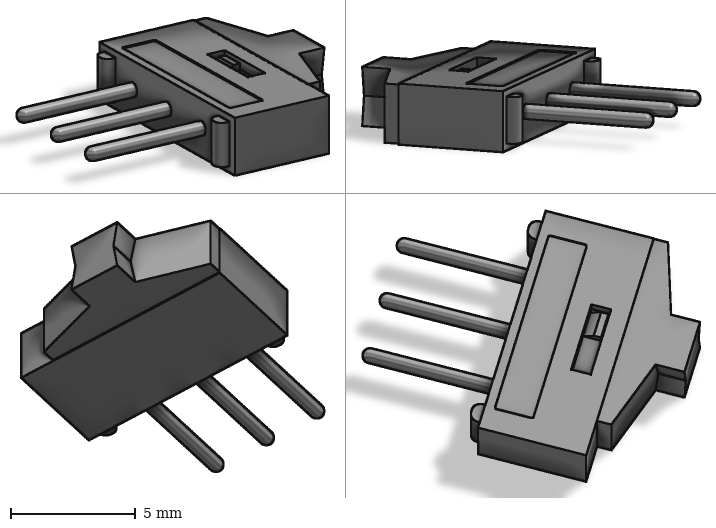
import cadquery as cq
import math


EXTRA = 0.13

OVERALL_Y = 12.8

HOUSING_X = 10.0
HOUSING_Y = 4.5
HOUSING_Z = 2.5
HOUSING_TOP = HOUSING_Z / 2
PIN_FACE_Y = -HOUSING_Y

SLOT_X = 3.0
SLOT_Y = 0.82
SLOT_SETBACK = 0.8
SLOT_DEPTH = 0.45
SLOT_END_Y = -(SLOT_SETBACK + SLOT_Y)

LABEL_X = 7.99
LABEL_Y = 1.6
LABEL_DEPTH = 0.05
LABEL_MARGIN = 0.41
LABEL_CORNER_RADIUS = 0.09

RAIL_X = 0.8
RAIL_Y = 0.5
RAIL_Z = 1.91
RAIL_RADIUS = 0.36
RAIL_OFFSET = 4.21

SLIDER_X = 8.4
SLIDER_Z = 2.42
SLIDER_CENTRE_X = (SLIDER_X - HOUSING_X) / 2
SHOULDER_END_Y = 0.6
RAMP_TOP_Y = 1.59
KNOB_TOP_Y = 2.79
KNOB_X = 2.3
KNOB_WAIST_DEPTH = 0.19

TONGUE_X = 6.4
TONGUE_TOP = HOUSING_TOP - SLOT_DEPTH

WEDGE_X = 1.09
WEDGE_CLEARANCE = 0.06
WEDGE_FLAT_Y = 0.31
WEDGE_HEIGHT = 0.3

PIN_COUNT = 3
PIN_PITCH = 2.53
PIN_RADIUS = 0.31
PIN_LENGTH = OVERALL_Y - KNOB_TOP_Y - HOUSING_Y


def box_between(x_centre, x_size, y_low, y_high, z_low, z_high):
    return (
        cq.Workplane("XY", origin=(x_centre, (y_low + y_high) / 2, z_low))
        .rect(x_size, y_high - y_low)
        .extrude(z_high - z_low)
    )


def make_rail(x):
    """Standoff bar with its two outer edges rounded."""
    outer_y = PIN_FACE_Y - RAIL_Y
    bar = box_between(x, RAIL_X, outer_y, PIN_FACE_Y, -RAIL_Z / 2, RAIL_Z / 2)
    return bar.faces("<Y").edges("|Z").fillet(RAIL_RADIUS)


def make_tongue():
    """Flat plate of the slider that fills the housing cavity."""
    return box_between(SLIDER_CENTRE_X, TONGUE_X, SLOT_END_Y, 0, -TONGUE_TOP, TONGUE_TOP)


def make_label_recess():
    y_low = PIN_FACE_Y + LABEL_MARGIN
    floor_z = HOUSING_TOP - LABEL_DEPTH
    cutter = box_between(0, LABEL_X, y_low, y_low + LABEL_Y, floor_z, HOUSING_TOP + EXTRA)
    return cutter.edges("|Z").fillet(LABEL_CORNER_RADIUS)


def make_housing():
    block = box_between(0, HOUSING_X, PIN_FACE_Y, 0, -HOUSING_TOP, HOUSING_TOP)
    slot = box_between(0, SLOT_X, SLOT_END_Y, -SLOT_SETBACK, TONGUE_TOP, HOUSING_TOP + EXTRA)
    housing = block.cut(make_tongue()).cut(slot).cut(make_label_recess())
    for side in (-1, 1):
        housing = housing.union(make_rail(side * RAIL_OFFSET))
    return housing


def make_shoulder():
    """Slider body outside the housing: straight ends and two ramps up to the knob waist."""
    half_x = SLIDER_X / 2
    waist_half_x = KNOB_X / 2 - KNOB_WAIST_DEPTH
    ramp_slope = (RAMP_TOP_Y - SHOULDER_END_Y) / (half_x - KNOB_X / 2)
    waist_y = RAMP_TOP_Y + ramp_slope * KNOB_WAIST_DEPTH
    return (
        cq.Workplane("XY", origin=(SLIDER_CENTRE_X, 0, -SLIDER_Z / 2))
        .moveTo(-half_x, 0)
        .lineTo(half_x, 0)
        .lineTo(half_x, SHOULDER_END_Y)
        .lineTo(waist_half_x, waist_y)
        .lineTo(-waist_half_x, waist_y)
        .lineTo(-half_x, SHOULDER_END_Y)
        .close()
        .extrude(SLIDER_Z)
    )


def make_knob():
    """Finger knob, narrowed to a waist at mid-thickness by a V groove on each side."""
    half_x = KNOB_X / 2
    half_z = SLIDER_Z / 2
    waist_half_x = half_x - KNOB_WAIST_DEPTH
    section = [
        (-half_x, -half_z),
        (half_x, -half_z),
        (waist_half_x, 0),
        (half_x, half_z),
        (-half_x, half_z),
        (-waist_half_x, 0),
    ]
    return (
        cq.Workplane("XZ", origin=(SLIDER_CENTRE_X, SHOULDER_END_Y, 0))
        .polyline(section)
        .close()
        .extrude(SHOULDER_END_Y - KNOB_TOP_Y)
    )


def make_wedge():
    """Flat-topped wedge that slopes down to the tongue toward -Y."""
    back_y = -SLOT_SETBACK - WEDGE_CLEARANCE
    wedge_top = TONGUE_TOP + WEDGE_HEIGHT
    return (
        cq.Workplane("YZ", origin=(SLIDER_CENTRE_X - WEDGE_X / 2, 0, 0))
        .moveTo(back_y, TONGUE_TOP)
        .lineTo(back_y, wedge_top)
        .lineTo(back_y - WEDGE_FLAT_Y, wedge_top)
        .lineTo(SLOT_END_Y, TONGUE_TOP)
        .close()
        .extrude(WEDGE_X)
    )


def make_slider():
    return make_shoulder().union(make_knob()).union(make_tongue()).union(make_wedge())


def make_pin(x):
    """Round pin standing on the pin face, with a domed tip."""
    dome_start_y = PIN_FACE_Y - PIN_LENGTH + PIN_RADIUS
    dome_offset = PIN_RADIUS * math.sqrt(0.5)
    half_section = (
        cq.Workplane("XY", origin=(x, 0, 0))
        .moveTo(0, PIN_FACE_Y)
        .lineTo(-PIN_RADIUS, PIN_FACE_Y)
        .lineTo(-PIN_RADIUS, dome_start_y)
        .threePointArc((-dome_offset, dome_start_y - dome_offset), (0, dome_start_y - PIN_RADIUS))
        .close()
    )
    return half_section.revolve(360, (0, 0, 0), (0, 1, 0))


housing = make_housing().solids()
slider = make_slider().solids()
pins = []
for index in range(PIN_COUNT):
    pin_x = (index - (PIN_COUNT - 1) / 2) * PIN_PITCH
    pins.append(make_pin(pin_x).val())

result = cq.Compound.makeCompound([housing.val(), slider.val(), *pins])